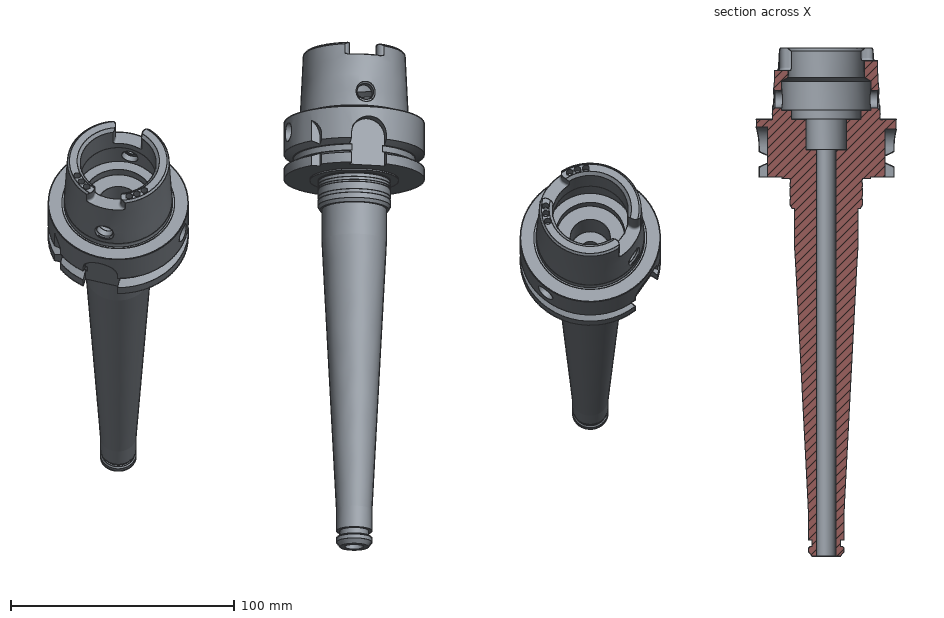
import cadquery as cq
import math


shank_top = 32.0
shank_base_radius = 24.5
taper_slope = 0.05
shank_tip_radius = shank_base_radius - taper_slope * shank_top
rim_chamfer = 1.0
relief_low = 1.0
relief_high = 2.3
relief_depth = 0.14
face_groove_radius = 25.3
face_groove_depth = 0.2

flange_radius = 31.5
flange_bottom = -26.0
flange_edge = 0.2
gripper_groove_center = -18.0
gripper_groove_radius = 27.4
gripper_floor_width = 3.2
gripper_corner = 0.2
gripper_mouth_width = 6.8
hub_radius = 40.0 / 2
hub_bottom = -26.7

collar_radius = 32.5 / 2
collar_bottom = -40.1
collar_chamfer_height = 1.5
collar_chamfer = 1.0
ring_grooves = ((-27.1, -28.7), (-30.0, -31.0), (-34.5, -36.0))
ring_groove_depth = 0.2
stem_radius = 29.0 / 2
stem_taper_start = -55.0
part_bottom = shank_top - 228
nose_radius = 16.0 / 2
stem_taper_end = part_bottom + 16.9
nose_groove_high = part_bottom + 7.3
nose_groove_low = part_bottom + 4.5
nose_groove_radius = 13.0 / 2
nose_bevel = 0.7
nose_chamfer_height = 2.0
nose_chamfer = 1.5

bore_radius = 34.0 / 2
bore_mouth_radius = 18.5
bore_mouth_depth = 1.4
clamp_edge_depth = 13.2
clamp_radius = 40.0 / 2
clamp_slope = 30
clamp_bottom = 4.0
socket_radius = 31.0 / 2
socket_bottom = 0.0
tube_seat_radius = 18.0 / 2
tube_seat_bottom = -13.7
through_diameter = 8.5

drive_slot_width = 12.5
drive_slot_flare = 2.7
drive_slot_lead = 1.8
drive_slot_fillet = 1.1
shallow_slot_depth = 5.7
deep_slot_depth = 10.0

cross_hole_diameter = 7.5
cross_hole_height = 9.0
cross_hole_mouth = 9.5

balance_hole_diameter = 3.0
balance_hole_depth = 4.5
balance_hole_radius = 20.0
balance_hole_angles = (29.5, 40.0, 51.0)

keyway_arc_center = -12.5
front_keyway_width = 16.0
rear_keyway_width = 18.0
keyway_floor = 26.5
notch_corner = 20.3

rim_hole_diameter = 8.5
rim_hole_height = -6.8
rim_hole_angle = 6.6
rim_hole_depth = 5.0


def shank_radius(z):
    return shank_base_radius - taper_slope * z


def body():
    flank_high = gripper_groove_center + gripper_mouth_width / 2
    floor_high = gripper_groove_center + gripper_floor_width / 2
    floor_low = gripper_groove_center - gripper_floor_width / 2
    flank_low = gripper_groove_center - gripper_mouth_width / 2
    profile = [
        (0, shank_top),
        (shank_tip_radius - rim_chamfer, shank_top),
        (shank_radius(shank_top - rim_chamfer), shank_top - rim_chamfer),
        (shank_radius(relief_high), relief_high),
        (shank_radius(relief_high) - relief_depth, relief_high - relief_depth),
        (shank_radius(relief_high) - relief_depth, relief_low),
        (shank_base_radius, -face_groove_depth),
        (face_groove_radius, -face_groove_depth),
        (face_groove_radius, 0),
        (flange_radius - flange_edge, 0),
        (flange_radius, -flange_edge),
        (flange_radius, flank_high),
        (gripper_groove_radius + gripper_corner, floor_high),
        (gripper_groove_radius, floor_high - gripper_corner),
        (gripper_groove_radius, floor_low + gripper_corner),
        (gripper_groove_radius + gripper_corner, floor_low),
        (flange_radius, flank_low),
        (flange_radius, flange_bottom),
        (hub_radius, flange_bottom),
        (hub_radius, hub_bottom),
        (collar_radius, hub_bottom),
        (collar_radius, collar_bottom + collar_chamfer_height),
        (collar_radius - collar_chamfer, collar_bottom),
        (stem_radius, collar_bottom),
        (stem_radius, stem_taper_start),
        (nose_radius, stem_taper_end),
        (nose_radius, nose_groove_high),
        (nose_groove_radius, nose_groove_high),
        (nose_groove_radius, nose_groove_low),
        (nose_radius - nose_bevel, nose_groove_low),
        (nose_radius, nose_groove_low - nose_bevel),
        (nose_radius, part_bottom + nose_chamfer_height),
        (nose_radius - nose_chamfer, part_bottom),
        (0, part_bottom),
    ]
    return cq.Workplane("XZ").polyline(profile).close().revolve(360, (0, 0), (0, 1))


def collar_grooves():
    inner = collar_radius - ring_groove_depth
    cutter = cq.Workplane("XY")
    for high, low in ring_grooves:
        ring = cq.Workplane("XY", origin=(0, 0, low)).circle(collar_radius).circle(inner)
        cutter = cutter.add(ring.extrude(high - low))
    return cutter.combine()


def bores():
    clamp_edge = shank_top - clamp_edge_depth
    clamp_top = clamp_edge - (clamp_radius - bore_radius) * math.tan(math.radians(clamp_slope))
    profile = [
        (0, shank_top),
        (bore_mouth_radius, shank_top),
        (bore_radius, shank_top - bore_mouth_depth),
        (bore_radius, clamp_edge),
        (clamp_radius, clamp_top),
        (clamp_radius, clamp_bottom),
        (socket_radius, clamp_bottom),
        (socket_radius, socket_bottom),
        (tube_seat_radius, socket_bottom),
        (tube_seat_radius, tube_seat_bottom),
        (through_diameter / 2, tube_seat_bottom),
        (through_diameter / 2, part_bottom),
        (0, part_bottom),
    ]
    return cq.Workplane("XZ").polyline(profile).close().revolve(360, (0, 0), (0, 1))


def drive_slot(side, depth):
    """Radial slot in the rim with rounded wall ends and floor corners; side is -1 or 1 along Y."""
    half = drive_slot_width / 2
    mouth = half + drive_slot_flare
    mouth_y = math.sqrt(shank_tip_radius**2 - mouth**2)
    lead = half + drive_slot_lead
    lead_y = math.sqrt(bore_radius**2 - lead**2)
    half_outline = (
        cq.Workplane("XY", origin=(0, 0, shank_top - depth))
        .lineTo(lead, 0)
        .lineTo(lead, lead_y)
        .radiusArc((half, lead_y + drive_slot_lead), drive_slot_lead)
        .lineTo(half, mouth_y - drive_slot_flare)
        .radiusArc((mouth, mouth_y), drive_slot_flare)
        .lineTo(mouth, flange_radius)
        .lineTo(0, flange_radius)
    )
    slot = half_outline.mirrorY().extrude(depth).faces("<Z").edges().fillet(drive_slot_fillet)
    return slot if side > 0 else slot.mirror("XZ")


def cross_hole():
    """Hole along Y through both shank walls, with a chamfered mouth at each end."""
    drill = cq.Workplane("XZ", origin=(0, 0, cross_hole_height)).circle(cross_hole_diameter / 2)
    drill = drill.extrude(shank_base_radius, both=True)
    chamfer = (cross_hole_mouth - cross_hole_diameter) / 2
    mouth_start = shank_radius(cross_hole_height) - chamfer
    for direction in (-1, 1):
        plane = cq.Plane((0, direction * mouth_start, cross_hole_height), (1, 0, 0), (0, direction, 0))
        mouth = cq.Workplane(plane).circle(cross_hole_diameter / 2).workplane(offset=chamfer)
        drill = drill.union(mouth.circle(cross_hole_mouth / 2).loft())
    return drill


def balance_holes():
    points = []
    for angle in balance_hole_angles:
        x = balance_hole_radius * math.sin(math.radians(angle))
        y = -balance_hole_radius * math.cos(math.radians(angle))
        points += [(x, y), (-x, y)]
    rim = cq.Workplane("XY", origin=(0, 0, shank_top))
    return rim.pushPoints(points).circle(balance_hole_diameter / 2).extrude(-balance_hole_depth)


def keyway(width, center_x, floor, side):
    """Round-topped keyway cut along Y from the flange rim in to y = side * floor; side is -1 or 1."""
    height = keyway_arc_center - flange_bottom
    slot = cq.Workplane("XZ", origin=(center_x, 0, keyway_arc_center)).circle(width / 2)
    slot = slot.extrude(-side * flange_radius)
    leg = cq.Workplane("XZ", origin=(center_x, 0, keyway_arc_center - height / 2)).rect(width, height)
    slot = slot.union(leg.extrude(-side * flange_radius))
    return slot.translate((0, side * floor, 0))


def rim_holes():
    drill = cq.Workplane("YZ", origin=(-flange_radius, 0, rim_hole_height)).circle(rim_hole_diameter / 2)
    hole = drill.extrude(rim_hole_depth).rotate((0, 0, 0), (0, 0, 1), rim_hole_angle)
    return hole.union(hole.mirror("YZ"))


result = (
    body()
    .cut(collar_grooves())
    .cut(bores())
    .cut(drive_slot(-1, shallow_slot_depth))
    .cut(drive_slot(1, deep_slot_depth))
    .cut(cross_hole())
    .cut(balance_holes())
    .cut(keyway(front_keyway_width, 0, keyway_floor, -1))
    .cut(keyway(rear_keyway_width, 0, keyway_floor, 1))
    .cut(keyway(rear_keyway_width, -notch_corner - rear_keyway_width / 2, notch_corner, -1))
    .cut(rim_holes())
)